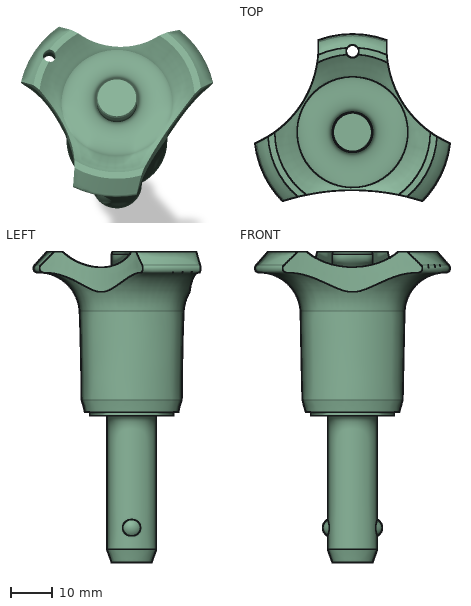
import cadquery as cq
import math

TOTAL_HEIGHT = 75.3
SHANK_RADIUS = 6.0
TIP_RADIUS = 4.9
TIP_HEIGHT = 3.2

BALL_RADIUS = 2.25
BALL_OFFSET = 5.0
BALL_HEIGHT = 8.4

COLLAR_RADIUS = 10.2
COLLAR_BOTTOM = 35.55
BODY_BOTTOM = 36.45
BODY_BOTTOM_RADIUS = 11.4
BODY_TAPER_START = 39.45
BODY_TAPER_RADIUS = 12.2
FLARE_BOTTOM = 61.0
FLARE_BOTTOM_RADIUS = 12.65

FLARE_MID_RADIUS = 15.35
FLARE_MID_HEIGHT = 67.2
RIM_RADIUS = 23.8
RIM_UNDERSIDE = 70.2
RIM_CHAMFER_BOTTOM = 72.05
RIM_TOP_OUTER_RADIUS = 20.5
RIM_TOP_INNER_RADIUS = 18.8
NOSE_TOP_INSET = 0.4
NOSE_BOTTOM_INSET = 1.05
NOSE_HEIGHT = (RIM_UNDERSIDE + RIM_CHAMFER_BOTTOM) / 2

DISH_MID_RADIUS = 15.35
DISH_MID_HEIGHT = 72.3
FLOOR_RADIUS = 13.4
FLOOR_HEIGHT = 71.15

BUTTON_RADIUS = 4.9
BUTTON_EDGE_INSET = 0.2
BUTTON_EDGE_HEIGHT = 0.7

SCALLOP_DEPTH_RADIUS = 14.1
FRONT_SCALLOP = (270.0, 55.7)
RIGHT_SCALLOP = (31.5, 25.3)
LEFT_SCALLOP = (180.0 - RIGHT_SCALLOP[0], RIGHT_SCALLOP[1])

LANYARD_RADIUS = 1.5
LANYARD_OFFSET = 19.6


def make_handle():
    """Revolve the shank, body and dished, flared rim about Z."""
    profile = (
        cq.Workplane("XZ")
        .moveTo(0, 0)
        .lineTo(TIP_RADIUS, 0)
        .lineTo(SHANK_RADIUS, TIP_HEIGHT)
        .lineTo(SHANK_RADIUS, COLLAR_BOTTOM)
        .lineTo(COLLAR_RADIUS, COLLAR_BOTTOM)
        .lineTo(COLLAR_RADIUS, BODY_BOTTOM)
        .lineTo(BODY_BOTTOM_RADIUS, BODY_BOTTOM)
        .lineTo(BODY_TAPER_RADIUS, BODY_TAPER_START)
        .lineTo(FLARE_BOTTOM_RADIUS, FLARE_BOTTOM)
        .threePointArc(
            (FLARE_MID_RADIUS, FLARE_MID_HEIGHT),
            (RIM_RADIUS - NOSE_BOTTOM_INSET, RIM_UNDERSIDE),
        )
        .threePointArc(
            (RIM_RADIUS, NOSE_HEIGHT),
            (RIM_RADIUS - NOSE_TOP_INSET, RIM_CHAMFER_BOTTOM),
        )
        .lineTo(RIM_TOP_OUTER_RADIUS, TOTAL_HEIGHT)
        .lineTo(RIM_TOP_INNER_RADIUS, TOTAL_HEIGHT)
        .threePointArc(
            (DISH_MID_RADIUS, DISH_MID_HEIGHT),
            (FLOOR_RADIUS, FLOOR_HEIGHT),
        )
        .lineTo(0, FLOOR_HEIGHT)
        .close()
    )
    return profile.revolve(360, (0, 0, 0), (0, 1, 0))


def make_button():
    """Push button with a narrow bevel, rooted in the body below the floor."""
    bevel_bottom = TOTAL_HEIGHT - BUTTON_EDGE_HEIGHT
    return (
        cq.Workplane("XZ")
        .moveTo(0, BODY_TAPER_START)
        .lineTo(BUTTON_RADIUS, BODY_TAPER_START)
        .lineTo(BUTTON_RADIUS, bevel_bottom)
        .lineTo(BUTTON_RADIUS - BUTTON_EDGE_INSET, TOTAL_HEIGHT)
        .lineTo(0, TOTAL_HEIGHT)
        .close()
        .revolve(360, (0, 0, 0), (0, 1, 0))
    )


def make_scallop(direction, radius):
    """Vertical cylinder whose nearest point lies SCALLOP_DEPTH_RADIUS from the axis."""
    distance = SCALLOP_DEPTH_RADIUS + radius
    angle = math.radians(direction)
    return (
        cq.Workplane("XY", origin=(0, 0, FLARE_BOTTOM))
        .center(distance * math.cos(angle), distance * math.sin(angle))
        .circle(radius)
        .extrude(TOTAL_HEIGHT - FLARE_BOTTOM)
    )


def make_ball(side):
    """Locking ball mostly sunk in the shank, on the +X or -X side."""
    return cq.Workplane("XY").sphere(BALL_RADIUS).translate((side * BALL_OFFSET, 0, BALL_HEIGHT))


result = make_handle().union(make_button())

for scallop in (FRONT_SCALLOP, RIGHT_SCALLOP, LEFT_SCALLOP):
    result = result.cut(make_scallop(*scallop))

lanyard_hole = (
    cq.Workplane("XY", origin=(0, LANYARD_OFFSET, FLARE_BOTTOM))
    .circle(LANYARD_RADIUS)
    .extrude(TOTAL_HEIGHT - FLARE_BOTTOM)
)
result = result.cut(lanyard_hole)

for side in (-1, 1):
    result = result.union(make_ball(side))